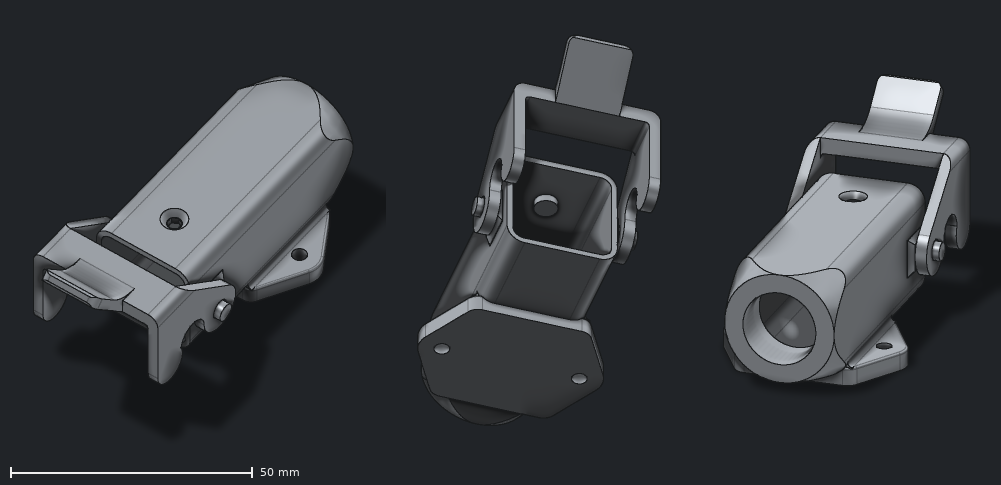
import cadquery as cq
import math


BODY_WIDTH = 24.0
BODY_LENGTH = 57.05
BODY_CORNER_R = 3.85
BODY_BOTTOM = 2.5
BODY_TOP = BODY_BOTTOM + BODY_WIDTH
BODY_MID_Z = (BODY_BOTTOM + BODY_TOP) / 2
HALF_BODY = BODY_WIDTH / 2
TAPER_LENGTH = 10.0
TAPER_RATE = 0.4

SIDE_WALL = 1.25
ROOF = 1.5
CAVITY_CORNER_R = 2.5
CAVITY_DEPTH = 46.85
CABLE_HOLE_D = 16.0

FLANGE_HOLE_D = 3.3
FLANGE_HOLE_X = 15.0
FLANGE_TIP_R = 5.0
FLANGE_LENGTH = 28.45
FLANGE_THICKNESS = 4.0
FLANGE_MID_Y = 34.2
FLANGE_SIDE_ANGLE = 60
FLANGE_CORNER_R = 3.0
FLANGE_EDGE_R = 0.5
FLANGE_ROOT_R = 1.0

SCREW_Y = 10.9
SCREW_D = 5.0
SCREW_PROTRUSION = 1.75
CONE_TOP_D = 5.9
HEX_CORNER_D = 3.3
HEX_DEPTH = 1.6

PIVOT_Y = 5.0
PAD_HEIGHT = 1.25
PAD_BEVEL = 1.2
PAD_SIZE = 8.4
PAD_FRONT_Y = 2.9
PAD_MID_Z = 14.2
PIN_D = 4.0
PIN_SPAN = 35.0

LEVER_WIDTH = 31.95
LEVER_ARM = 2.5
LEVER_TOP = 31.0
LEVER_BRIDGE = 3.5
LEVER_OUTER_R = LEVER_ARM
LEVER_INNER_R = 1.0
LEVER_FRONT_Y = -16.7
PIVOT_R = 5.5
PIVOT_HOLE_D = 4.4
NOTCH_R = 4.0
FINGER_R = 4.35
FINGER_Z = 12.6
LEVER_SLOPE_Y = -7.1

TAB_WIDTH = 14.0
TAB_BEND_R = 10.0
TAB_START_Y = -12.6
TAB_END_Y = -26.6
TAB_TOP = 39.15
TAB_CORNER_R = 2.0
TAB_CHAMFER = 0.6
PIN_Z = BODY_MID_Z - (PIVOT_HOLE_D - PIN_D) / 2


def cylinder_along_x(diameter, length, y, z):
    """Cylinder centred on X = 0."""
    disc = cq.Workplane("YZ", origin=(0, y, z)).circle(diameter / 2)
    return disc.extrude(length / 2, both=True)


def make_shell():
    """Rounded square tube blank whose closed end is trimmed by a cone."""
    blank = (
        cq.Workplane("XZ", origin=(0, 0, BODY_MID_Z))
        .rect(BODY_WIDTH, BODY_WIDTH)
        .extrude(-BODY_LENGTH)
        .edges("|Y")
        .fillet(BODY_CORNER_R)
    )
    taper_start = BODY_LENGTH - TAPER_LENGTH
    wide_r = HALF_BODY + TAPER_RATE * TAPER_LENGTH
    envelope = (
        cq.Workplane("XY")
        .moveTo(0, 0)
        .lineTo(wide_r, 0)
        .lineTo(wide_r, taper_start)
        .lineTo(HALF_BODY, BODY_LENGTH)
        .lineTo(0, BODY_LENGTH)
        .close()
        .revolve(360, (0, 0), (0, 1))
        .translate((0, 0, BODY_MID_Z))
    )
    return blank.intersect(envelope)


def make_cavity():
    """Rounded pocket from the mouth and the cable hole through the end wall."""
    height = BODY_WIDTH - SIDE_WALL - ROOF
    pocket = (
        cq.Workplane("XZ", origin=(0, 0, BODY_BOTTOM + SIDE_WALL + height / 2))
        .rect(BODY_WIDTH - 2 * SIDE_WALL, height)
        .extrude(-CAVITY_DEPTH)
        .edges("|Y")
        .fillet(CAVITY_CORNER_R)
    )
    cable_hole = (
        cq.Workplane("XZ", origin=(0, 0, BODY_MID_Z)).circle(CABLE_HOLE_D / 2).extrude(-BODY_LENGTH)
    )
    return pocket.union(cable_hole)


def make_flange():
    """Six-sided plate with round ends, centred on its holes, and soft top edges."""
    slope = math.radians(FLANGE_SIDE_ANGLE)
    half_length = FLANGE_LENGTH / 2
    tangent_x = FLANGE_HOLE_X + FLANGE_TIP_R * math.sin(slope)
    tangent_y = FLANGE_TIP_R * math.cos(slope)
    corner_x = tangent_x - (half_length - tangent_y) / math.tan(slope)
    tip_x = FLANGE_HOLE_X + FLANGE_TIP_R
    plate = (
        cq.Workplane("XY")
        .moveTo(-corner_x, half_length)
        .lineTo(corner_x, half_length)
        .lineTo(tangent_x, tangent_y)
        .threePointArc((tip_x, 0), (tangent_x, -tangent_y))
        .lineTo(corner_x, -half_length)
        .lineTo(-corner_x, -half_length)
        .lineTo(-tangent_x, -tangent_y)
        .threePointArc((-tip_x, 0), (-tangent_x, tangent_y))
        .close()
        .extrude(FLANGE_THICKNESS)
    )
    plate = plate.faces("<Y or >Y").edges("|Z").fillet(FLANGE_CORNER_R)
    plate = plate.faces(">Z").edges().fillet(FLANGE_EDGE_R)
    return plate.translate((0, FLANGE_MID_Y, 0))


def make_flange_root():
    """Strips with a concave face that blend the flange top into the rounded body corners."""
    corner_x = HALF_BODY - BODY_CORNER_R
    corner_z = BODY_BOTTOM + BODY_CORNER_R
    blend_z = FLANGE_THICKNESS + FLANGE_ROOT_R
    reach = BODY_CORNER_R + FLANGE_ROOT_R
    blend_x = corner_x + math.sqrt(reach**2 - (corner_z - blend_z) ** 2)
    share = BODY_CORNER_R / reach
    touch_x = corner_x + share * (blend_x - corner_x)
    touch_z = corner_z + share * (blend_z - corner_z)
    touch_angle = math.atan2(touch_z - blend_z, touch_x - blend_x) % (2 * math.pi)
    straight_down = 1.5 * math.pi
    mid_angle = (touch_angle + straight_down) / 2
    middle = (blend_x + FLANGE_ROOT_R * math.cos(mid_angle), blend_z + FLANGE_ROOT_R * math.sin(mid_angle))
    length = FLANGE_LENGTH - 2 * FLANGE_EDGE_R
    strip_bottom = BODY_BOTTOM + SIDE_WALL
    strip = (
        cq.Workplane("XZ", origin=(0, FLANGE_MID_Y + length / 2, 0))
        .moveTo(corner_x, strip_bottom)
        .lineTo(blend_x, strip_bottom)
        .lineTo(blend_x, FLANGE_THICKNESS)
        .threePointArc(middle, (touch_x, touch_z))
        .close()
        .extrude(length)
    )
    return strip.union(strip.mirror("YZ"))


def make_flange_holes():
    return (
        cq.Workplane("XY")
        .pushPoints([(-FLANGE_HOLE_X, FLANGE_MID_Y), (FLANGE_HOLE_X, FLANGE_MID_Y)])
        .circle(FLANGE_HOLE_D / 2)
        .extrude(FLANGE_THICKNESS)
    )


def make_screw():
    """Screw end that hangs from the roof into the cavity."""
    return (
        cq.Workplane("XY", origin=(0, SCREW_Y, BODY_TOP))
        .circle(SCREW_D / 2)
        .extrude(-ROOF - SCREW_PROTRUSION)
    )


def make_screw_recess():
    """45 degree cone in the roof that ends in a blind hexagon socket."""
    cone_depth = (CONE_TOP_D - HEX_CORNER_D) / 2
    cone = (
        cq.Workplane("XY", origin=(0, SCREW_Y, BODY_TOP))
        .circle(CONE_TOP_D / 2)
        .workplane(offset=-cone_depth)
        .circle(HEX_CORNER_D / 2)
        .loft()
    )
    socket = (
        cq.Workplane("XY", origin=(0, SCREW_Y, BODY_TOP))
        .transformed(rotate=(0, 0, 90))
        .polygon(6, HEX_CORNER_D)
        .extrude(-cone_depth - HEX_DEPTH)
    )
    return cone.union(socket)


def make_pads():
    """Square pads under the lever arms, bevelled on every side but the front."""
    pad = (
        cq.Workplane("YZ", origin=(HALF_BODY, PAD_FRONT_Y + PAD_SIZE / 2, PAD_MID_Z))
        .rect(PAD_SIZE, PAD_SIZE)
        .extrude(PAD_HEIGHT)
        .faces(">X")
        .edges("|Y or >Y")
        .chamfer(PAD_BEVEL)
    )
    return pad.union(pad.mirror("YZ"))


def make_pins():
    pins = cylinder_along_x(PIN_D, PIN_SPAN, PIVOT_Y, PIN_Z)
    return pins.cut(cylinder_along_x(PIN_D, BODY_WIDTH, PIVOT_Y, PIN_Z))


def make_housing():
    body = make_shell().union(make_flange()).union(make_flange_root())
    body = body.cut(make_cavity()).cut(make_flange_holes())
    body = body.union(make_screw()).cut(make_screw_recess())
    return body.union(make_pads()).union(make_pins())


def lever_side_profile():
    """Side outline of the lever: pivot eye, open notch and rounded finger."""
    notch_y = PIVOT_Y - PIVOT_R - NOTCH_R
    finger_y = LEVER_FRONT_Y + FINGER_R

    run = PIVOT_Y - LEVER_SLOPE_Y
    rise = LEVER_TOP - BODY_MID_Z
    tangent_angle = math.atan2(rise, -run) - math.acos(PIVOT_R / math.hypot(run, rise))
    tangent = (PIVOT_Y + PIVOT_R * math.cos(tangent_angle), BODY_MID_Z + PIVOT_R * math.sin(tangent_angle))

    gap_y = finger_y - notch_y
    gap_z = FINGER_Z - BODY_MID_Z
    gap = math.hypot(gap_y, gap_z)
    along = (NOTCH_R**2 - FINGER_R**2 + gap**2) / (2 * gap)
    aside = math.sqrt(NOTCH_R**2 - along**2)
    corner = (
        notch_y + (along * gap_y + aside * gap_z) / gap,
        BODY_MID_Z + (along * gap_z - aside * gap_y) / gap,
    )
    return (
        cq.Workplane("YZ", origin=(-LEVER_WIDTH / 2, 0, 0))
        .moveTo(LEVER_FRONT_Y, LEVER_TOP)
        .lineTo(LEVER_SLOPE_Y, LEVER_TOP)
        .lineTo(*tangent)
        .threePointArc((PIVOT_Y, BODY_MID_Z - PIVOT_R), (PIVOT_Y - PIVOT_R, BODY_MID_Z))
        .threePointArc((notch_y, BODY_MID_Z + NOTCH_R), corner)
        .threePointArc((finger_y, FINGER_Z - FINGER_R), (LEVER_FRONT_Y, FINGER_Z))
        .close()
    )


def make_lever_frame():
    """U-shaped frame: two arms joined by a bridge."""
    blank = lever_side_profile().extrude(LEVER_WIDTH)
    bridge_bottom = LEVER_TOP - LEVER_BRIDGE
    length = PIVOT_Y + PIVOT_R - LEVER_FRONT_Y
    outside = (
        cq.Workplane("XZ")
        .rect(LEVER_WIDTH, 2 * LEVER_TOP)
        .extrude(length, both=True)
        .edges("|Y and >Z")
        .fillet(LEVER_OUTER_R)
    )
    inside = (
        cq.Workplane("XZ")
        .rect(LEVER_WIDTH - 2 * LEVER_ARM, 2 * bridge_bottom)
        .extrude(length, both=True)
        .edges("|Y and >Z")
        .fillet(LEVER_INNER_R)
    )
    behind_bridge = (
        cq.Workplane("XY", origin=(0, LEVER_SLOPE_Y + length / 2, 0))
        .rect(LEVER_WIDTH - 2 * LEVER_ARM, length)
        .extrude(LEVER_TOP)
    )
    return blank.intersect(outside).cut(inside).cut(behind_bridge)


def make_tab():
    """Thumb tab that bends up 45 degrees from the bridge, with bevelled tip edges."""
    diagonal = math.sqrt(0.5)
    half_bend = math.pi / 8
    bend_end_y = TAB_START_Y - TAB_BEND_R * diagonal
    bend_end_z = LEVER_TOP + TAB_BEND_R * (1 - diagonal)
    bend_mid = (
        TAB_START_Y - TAB_BEND_R * math.sin(half_bend),
        LEVER_TOP + TAB_BEND_R * (1 - math.cos(half_bend)),
    )
    bridge_bottom = LEVER_TOP - LEVER_BRIDGE
    upper_sum = bend_end_y + bend_end_z
    lower_sum = LEVER_FRONT_Y + bridge_bottom
    bevel_run = TAB_CHAMFER / diagonal
    end_difference = lower_sum + bevel_run - 2 * TAB_END_Y
    tab = (
        cq.Workplane("YZ", origin=(-TAB_WIDTH / 2, 0, 0))
        .moveTo(TAB_START_Y, bridge_bottom)
        .lineTo(TAB_START_Y, LEVER_TOP)
        .threePointArc(bend_mid, (bend_end_y, bend_end_z))
        .lineTo(upper_sum - TAB_TOP, TAB_TOP)
        .lineTo(TAB_TOP - end_difference, TAB_TOP)
        .lineTo(TAB_END_Y, end_difference + TAB_END_Y)
        .lineTo(TAB_END_Y, lower_sum - TAB_END_Y)
        .lineTo(LEVER_FRONT_Y, bridge_bottom)
        .close()
        .extrude(TAB_WIDTH)
    )
    end_face = cq.Plane(
        origin=(0, TAB_END_Y, end_difference + TAB_END_Y), xDir=(1, 0, 0), normal=(0, 1, 1)
    )
    length = 2 * (TAB_START_Y - TAB_END_Y)
    rounded_block = (
        cq.Workplane(end_face)
        .center(0, length / 2)
        .rect(TAB_WIDTH, length)
        .extrude(TAB_BEND_R, both=True)
        .edges(cq.selectors.NearestToPointSelector((TAB_WIDTH / 2, TAB_END_Y, TAB_TOP)))
        .fillet(TAB_CORNER_R)
    )
    return tab.intersect(rounded_block).intersect(rounded_block.mirror("YZ"))


def make_lever():
    holes = cylinder_along_x(PIVOT_HOLE_D, LEVER_WIDTH, PIVOT_Y, BODY_MID_Z)
    return make_lever_frame().cut(holes).union(make_tab())


housing = make_housing()
lever = make_lever()

result = cq.Compound.makeCompound([housing.val(), lever.val()])